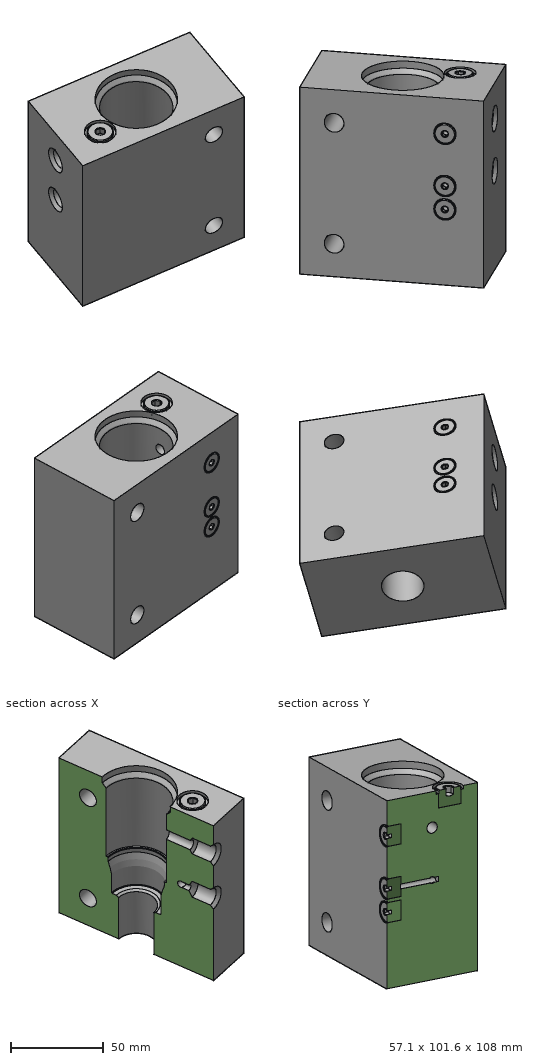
import cadquery as cq
import math

BLOCK_X = 57.15
BLOCK_Y = 101.6
BLOCK_Z = 107.95
LEFT_FACE = -BLOCK_X / 2
FRONT_FACE = -BLOCK_Y / 2
TOP_FACE = BLOCK_Z / 2

MOUTH_RADIUS = 22.225
MOUTH_DEPTH = 4.1
BORE_RADIUS = 19.8
LEAD_IN_RADIUS = 20.1
LEAD_IN_DEPTH = MOUTH_DEPTH + MOUTH_RADIUS - LEAD_IN_RADIUS
LEAD_IN_LENGTH = 0.5
SHOULDER_DEPTH = 54.0
SEAT_RADIUS = 18.8
SEAT_BEVEL = 0.4
SEAT_TAPER_DEPTH = 57.0
SEAT_TAPER_RADIUS = 17.0
SEAT_TAPER_END = 61.0
NOSE_RADIUS = 16.1
NOSE_TAPER_END = 65.0
NOSE_DEPTH = 78.0
NOSE_EDGE = 0.4
OUTLET_RADIUS = 11.45
OUTLET_BEVEL = 1.5
OUTLET_BEVEL_DEPTH = 0.9

PORT_RADIUS = 5.33
PORT_MOUTH_RADIUS = 7.2
PORT_MOUTH_DEPTH = 2.0
PORT_DEPTH = 14.0
DRILL_POINT_HALF_ANGLE = math.radians(59)
UPPER_PORT_Z = 33.3
LOWER_PORT_Z = 3.2
UPPER_PORT_DRILL_RADIUS = 3.1
LOWER_PORT_DRILL_RADIUS = 1.8
CROSS_DRILL_RADIUS = 2.0
CROSS_DRILL_END_X = 4.0

MOUNTING_RADIUS = 5.4
MOUNTING_Y = 31.75
MOUNTING_Z = 34.9

PLUG_ROW_Y = -29.3
LOWEST_PLUG_Z = -10.3
TOP_PLUG_X = 11.1
HEX_SIDES = 6
HEX_TURN = 30
SIDE_PLUG = dict(radius=5.8, length=9.0, bevel=0.5, recess_radius=6.1, recess_depth=0.8,
                 rim_radius=2.0, hex_flats=3.175, hex_depth=3.0)
TOP_PLUG = dict(radius=7.1, length=10.0, bevel=0.5, recess_radius=8.5, recess_depth=2.0,
                rim_radius=2.85, hex_flats=4.76, hex_depth=4.0)

LEFT_PLANES = [
    cq.Plane(origin=(LEFT_FACE, PLUG_ROW_Y, z), xDir=(0, 1, 0), normal=(-1, 0, 0))
    for z in (UPPER_PORT_Z, LOWER_PORT_Z, LOWEST_PLUG_Z)
]
TOP_PLANE = cq.Plane(origin=(TOP_PLUG_X, PLUG_ROW_Y, TOP_FACE), xDir=(1, 0, 0), normal=(0, 0, 1))


def turned(plane, profile):
    """Solid of revolution about the plane's normal from (radius, depth) points that end on the axis."""
    points = [(0, 0)] + [(radius, -depth) for radius, depth in profile]
    outline = cq.Workplane("XZ").polyline(points).close()
    solid = outline.revolve(360, (0, 0), (0, 1)).val()
    return cq.Workplane(solid.moved(cq.Location(plane)))


def cavity():
    profile = [
        (MOUTH_RADIUS, 0),
        (MOUTH_RADIUS, MOUTH_DEPTH),
        (LEAD_IN_RADIUS, LEAD_IN_DEPTH),
        (BORE_RADIUS, LEAD_IN_DEPTH + LEAD_IN_LENGTH),
        (BORE_RADIUS, SHOULDER_DEPTH),
        (SEAT_RADIUS, SHOULDER_DEPTH),
        (SEAT_RADIUS - SEAT_BEVEL, SHOULDER_DEPTH + SEAT_BEVEL),
        (SEAT_RADIUS - SEAT_BEVEL, SEAT_TAPER_DEPTH),
        (SEAT_TAPER_RADIUS, SEAT_TAPER_END),
        (NOSE_RADIUS, NOSE_TAPER_END),
        (NOSE_RADIUS, NOSE_DEPTH - NOSE_EDGE),
        (NOSE_RADIUS - NOSE_EDGE, NOSE_DEPTH),
        (OUTLET_RADIUS + OUTLET_BEVEL, NOSE_DEPTH),
        (OUTLET_RADIUS, NOSE_DEPTH + OUTLET_BEVEL_DEPTH),
        (OUTLET_RADIUS, BLOCK_Z),
        (0, BLOCK_Z),
    ]
    return turned(cq.Plane(origin=(0, 0, TOP_FACE)), profile)


def port(z, drill_radius, drill_end_y):
    point_length = (PORT_RADIUS - drill_radius) / math.tan(DRILL_POINT_HALF_ANGLE)
    drill_depth = drill_end_y - FRONT_FACE
    profile = [
        (PORT_MOUTH_RADIUS, 0),
        (PORT_RADIUS, PORT_MOUTH_DEPTH),
        (PORT_RADIUS, PORT_DEPTH),
        (drill_radius, PORT_DEPTH + point_length),
        (drill_radius, drill_depth),
        (0, drill_depth),
    ]
    plane = cq.Plane(origin=(0, FRONT_FACE, z), xDir=(1, 0, 0), normal=(0, -1, 0))
    return turned(plane, profile)


def cross_drill():
    """Passage along X from the middle side plug to the drill of the lower port."""
    plane = cq.Plane(origin=(LEFT_FACE, PLUG_ROW_Y, LOWER_PORT_Z), xDir=(0, 1, 0), normal=(-1, 0, 0))
    return cq.Workplane(plane).circle(CROSS_DRILL_RADIUS).extrude(LEFT_FACE - CROSS_DRILL_END_X)


def plug_pocket(plane, size):
    profile = [
        (size["recess_radius"], 0),
        (size["recess_radius"], size["recess_depth"]),
        (size["radius"], size["recess_depth"]),
        (size["radius"], size["length"]),
        (0, size["length"]),
    ]
    return turned(plane, profile)


def plug(plane, size):
    radius = size["radius"]
    bevel = size["bevel"]
    rim = size["rim_radius"]
    flat_radius = size["hex_flats"] / 2
    corner_diameter = size["hex_flats"] / math.cos(math.pi / HEX_SIDES)
    length = size["length"]
    body = turned(plane, [(radius - bevel, 0), (radius, bevel), (radius, length), (0, length)])
    rim_bevel = turned(plane, [(rim, 0), (0, rim)])
    hexagon = cq.Workplane(plane).transformed(rotate=(0, 0, HEX_TURN)).polygon(HEX_SIDES, corner_diameter)
    socket = hexagon.extrude(-size["hex_depth"])
    point_depth = size["hex_depth"] + flat_radius / math.tan(DRILL_POINT_HALF_ANGLE)
    point = turned(plane, [(flat_radius, 0), (flat_radius, size["hex_depth"]), (0, point_depth)])
    return body.cut(rim_bevel).cut(socket).cut(point)


def manifold_block():
    block = cq.Workplane().box(BLOCK_X, BLOCK_Y, BLOCK_Z)
    block = block.cut(cavity())
    block = block.cut(port(UPPER_PORT_Z, UPPER_PORT_DRILL_RADIUS, 0))
    block = block.cut(port(LOWER_PORT_Z, LOWER_PORT_DRILL_RADIUS, PLUG_ROW_Y))
    block = block.cut(cross_drill())
    mounting_points = [(MOUNTING_Y, MOUNTING_Z), (MOUNTING_Y, -MOUNTING_Z)]
    mounting_holes = cq.Workplane("YZ").pushPoints(mounting_points).circle(MOUNTING_RADIUS)
    block = block.cut(mounting_holes.extrude(BLOCK_X / 2, both=True))
    for plane in LEFT_PLANES:
        block = block.cut(plug_pocket(plane, SIDE_PLUG))
    return block.cut(plug_pocket(TOP_PLANE, TOP_PLUG))


block = manifold_block()
side_plugs = [plug(plane, SIDE_PLUG) for plane in LEFT_PLANES]
top_plug = plug(TOP_PLANE, TOP_PLUG)

result = cq.Compound.makeCompound([block.val(), *[item.val() for item in side_plugs], top_plug.val()])